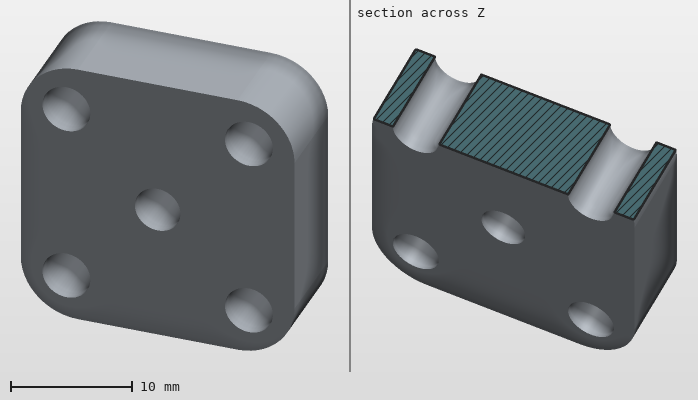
import cadquery as cq

width = 24.0
thickness = 8.0
corner_radius = 5.0

center_hole_diameter = 4.0
corner_hole_diameter = 4.2
corner_hole_spacing = 16.0


def rounded_block():
    """Square block centred on the origin with its four Y-direction edges rounded."""
    return cq.Workplane("XY").box(width, thickness, width).edges("|Y").fillet(corner_radius)


def drill_center_hole(block):
    return block.faces("<Y").workplane(centerOption="CenterOfBoundBox").hole(center_hole_diameter)


def drill_corner_holes(block):
    """Four holes on a square pattern around the centre."""
    return (
        block.faces("<Y")
        .workplane(centerOption="CenterOfBoundBox")
        .rect(corner_hole_spacing, corner_hole_spacing, forConstruction=True)
        .vertices()
        .hole(corner_hole_diameter)
    )


result = drill_corner_holes(drill_center_hole(rounded_block()))